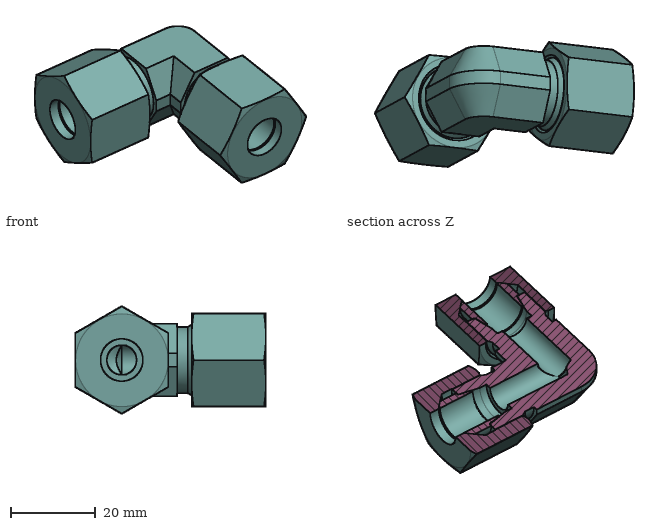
import cadquery as cq
import math


TUBE_RADIUS = 5.0
FLOW_RADIUS = 3.5
DRILL_POINT_ANGLE = 120.0

BODY_HALF_WIDTH = 8.95
BODY_HALF_HEIGHT = 8.6
SIDE_FLAT_HALF_HEIGHT = 1.6
TOP_FLAT_HALF_WIDTH = 4.9
BODY_END = 13.08
NECK_RADIUS = 7.85
NECK_END = 15.6
THREAD_RADIUS = 8.65
THREAD_RUNOUT_ANGLE = 30.0
LEG_END = 25.0
TUBE_STOP = 17.5
SEAT_HALF_ANGLE = 12.0
SEAT_MOUTH_RADIUS = 6.15

NUT_ACROSS_FLATS = 22.0
NUT_START = 16.5
NUT_END = 34.0
NUT_FACE_RADIUS = 10.95
NUT_CHAMFER_ANGLE = 15.0
NUT_BORE_DEPTH = 2.48
NUT_MOUTH_RADIUS = 9.25
LEAD_IN_ANGLE = 60.0

RING_START = 21.5
RING_COLLAR_RADIUS = 7.0
RING_BACK_GAP = 0.4

NUT_CORNER_RADIUS = NUT_ACROSS_FLATS / math.sqrt(3)
NUT_CHAMFER_LENGTH = (NUT_CORNER_RADIUS - NUT_FACE_RADIUS) * math.tan(math.radians(NUT_CHAMFER_ANGLE))
DRILL_POINT_LENGTH = FLOW_RADIUS / math.tan(math.radians(DRILL_POINT_ANGLE / 2))
THREAD_START = NECK_END + (THREAD_RADIUS - NECK_RADIUS) / math.tan(math.radians(THREAD_RUNOUT_ANGLE))
SEAT_SLOPE = math.tan(math.radians(SEAT_HALF_ANGLE))
SEAT_START = LEG_END - (SEAT_MOUTH_RADIUS - TUBE_RADIUS) / SEAT_SLOPE
RING_NOSE_RADIUS = SEAT_MOUTH_RADIUS - (LEG_END - RING_START) * SEAT_SLOPE
NUT_CONE_END = NUT_END - NUT_BORE_DEPTH
LEAD_IN_LENGTH = (NUT_MOUTH_RADIUS - THREAD_RADIUS) / math.tan(math.radians(LEAD_IN_ANGLE))

X_LEG = cq.Plane(origin=(0, 0, 0), xDir=(0, 1, 0), normal=(1, 0, 0))
Y_LEG = cq.Plane(origin=(0, 0, 0), xDir=(1, 0, 0), normal=(0, -1, 0))
LEGS = [X_LEG, Y_LEG]
NUT_PLACES = [(X_LEG, 0), (Y_LEG, 90)]


def turned(profile):
    """Solid of revolution about local z from (radius, along) points."""
    return cq.Workplane("XZ").polyline(profile).close().revolve(360, (0, 0, 0), (0, 1, 0))


def on_leg(shape, leg):
    """Move a shape built along z onto a leg."""
    return cq.Workplane(shape.val().moved(leg.location))


HALF_SECTION = [
    (0, -BODY_HALF_HEIGHT),
    (TOP_FLAT_HALF_WIDTH, -BODY_HALF_HEIGHT),
    (BODY_HALF_WIDTH, -SIDE_FLAT_HALF_HEIGHT),
    (BODY_HALF_WIDTH, SIDE_FLAT_HALF_HEIGHT),
    (TOP_FLAT_HALF_WIDTH, BODY_HALF_HEIGHT),
    (0, BODY_HALF_HEIGHT),
]


def make_body_leg():
    """Eight-sided leg, its neck and its threaded end."""
    other_half = [(-width, -height) for width, height in HALF_SECTION[1:-1]]
    prism = cq.Workplane("XY").polyline(HALF_SECTION + other_half).close().extrude(BODY_END)
    threaded_end = turned([
        (0, 0),
        (NECK_RADIUS, 0),
        (NECK_RADIUS, NECK_END),
        (THREAD_RADIUS, THREAD_START),
        (THREAD_RADIUS, LEG_END),
        (0, LEG_END),
    ])
    return prism.union(threaded_end)


def make_leg_bore():
    """Drilled flow bore, tube socket and conical ring seat of one leg."""
    return turned([
        (0, -DRILL_POINT_LENGTH),
        (FLOW_RADIUS, 0),
        (FLOW_RADIUS, TUBE_STOP),
        (TUBE_RADIUS, TUBE_STOP),
        (TUBE_RADIUS, SEAT_START),
        (SEAT_MOUTH_RADIUS, LEG_END),
        (0, LEG_END),
    ])


def make_elbow():
    """Elbow body: a rounded outer corner joined to two bored legs."""
    elbow = (
        cq.Workplane("XZ")
        .polyline([(-width, height) for width, height in HALF_SECTION])
        .close()
        .revolve(90, (0, 0, 0), (0, -1, 0))
    )
    for leg in LEGS:
        elbow = elbow.union(on_leg(make_body_leg(), leg))
    for leg in LEGS:
        elbow = elbow.cut(on_leg(make_leg_bore(), leg))
    return elbow


def make_nut():
    """Hexagon nut, chamfered at both ends, with its thread, ring cone and tube bore."""
    hexagon = (
        cq.Workplane("XY", origin=(0, 0, NUT_START))
        .polygon(6, 2 * NUT_CORNER_RADIUS)
        .extrude(NUT_END - NUT_START)
    )
    chamfered_blank = turned([
        (0, NUT_START),
        (NUT_FACE_RADIUS, NUT_START),
        (NUT_CORNER_RADIUS, NUT_START + NUT_CHAMFER_LENGTH),
        (NUT_CORNER_RADIUS, NUT_END - NUT_CHAMFER_LENGTH),
        (NUT_FACE_RADIUS, NUT_END),
        (0, NUT_END),
    ])
    cone_start = NUT_CONE_END - (THREAD_RADIUS - TUBE_RADIUS)
    hole = turned([
        (0, NUT_START),
        (NUT_MOUTH_RADIUS, NUT_START),
        (THREAD_RADIUS, NUT_START + LEAD_IN_LENGTH),
        (THREAD_RADIUS, cone_start),
        (TUBE_RADIUS, NUT_CONE_END),
        (TUBE_RADIUS, NUT_END),
        (0, NUT_END),
    ])
    return hexagon.intersect(chamfered_blank).cut(hole)


def make_cutting_ring():
    """Ring with a nose in the body's conical seat and a 45 degree back in the nut's cone."""
    ring_end = NUT_CONE_END - RING_BACK_GAP
    back_radius = TUBE_RADIUS + RING_BACK_GAP
    collar_end = ring_end - (RING_COLLAR_RADIUS - back_radius)
    return turned([
        (TUBE_RADIUS, RING_START),
        (RING_NOSE_RADIUS, RING_START),
        (SEAT_MOUTH_RADIUS, LEG_END),
        (RING_COLLAR_RADIUS, LEG_END),
        (RING_COLLAR_RADIUS, collar_end),
        (back_radius, ring_end),
        (TUBE_RADIUS, ring_end),
    ])


elbow = make_elbow()
nuts = [on_leg(make_nut().rotate((0, 0, 0), (0, 0, 1), turn), leg) for leg, turn in NUT_PLACES]
cutting_rings = [on_leg(make_cutting_ring(), leg) for leg in LEGS]

result = cq.Compound.makeCompound([
    elbow.val(),
    *[nut.val() for nut in nuts],
    *[ring.val() for ring in cutting_rings],
])